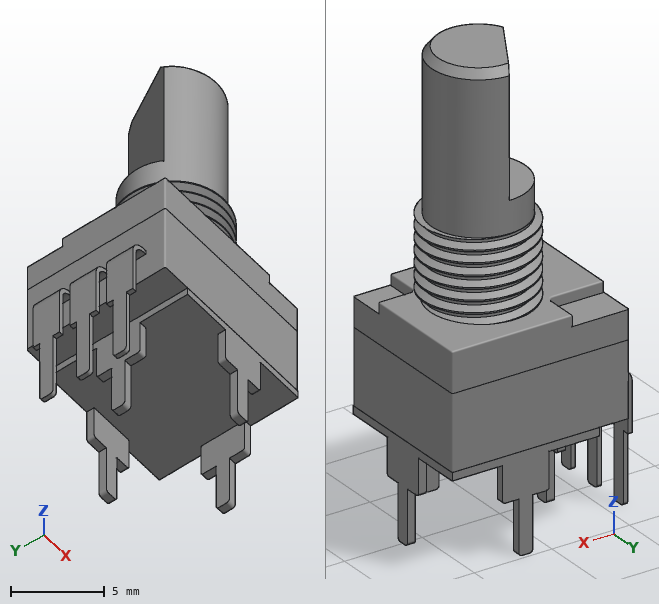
import cadquery as cq
import math


housing_bottom = 6.27
cover_bottom = 11.0
cover_top = 13.5
bushing_top = 18.5
flat_bottom = 20.5
shaft_top = 28.5

housing_length = 11.4
housing_width = 9.5
housing_right = 4.87
housing_left = housing_right - housing_length
edge_radius = 0.1

notch_length_left = 3.62
notch_width_left = 2.4
notch_length_right = 2.4
notch_width_right = 2.4
notch_depth = 0.68
notch_corner_radius = 0.37

shaft_diameter = 6.0
shaft_chamfer_width = 0.43
shaft_chamfer_height = 0.5
flat_distance = 1.48
flat_direction = 150

core_diameter = 6.05
thread_diameter = 6.9
thread_turns = 6.65
thread_pitch = (bushing_top - cover_top) / thread_turns
crest_width = 0.09
flank_angle = 30
thread_phase = 0.57
thread_sink = 0.05

bracket_thickness = 0.5
bracket_size = housing_width
bracket_center_x = housing_right - bracket_size / 2
tab_width = 3.0
tab_bottom = 3.45
pin_width = 0.9
tab_corner_radius = 0.17
pin_tip_radius = 0.23

terminal_count = 3
terminal_pitch = 2.5
terminal_width = 1.8
terminal_thickness = 0.28
terminal_reach = 1.1
terminal_left = housing_left - terminal_reach
terminal_top = 8.52
terminal_shoulder = 4.53
bend_radius = 0.95


def housing_block(bottom, top):
    """Plain rectangular block of the housing outline between two heights."""
    return cq.Workplane("XY").box(
        housing_length, housing_width, top - bottom, centered=False
    ).translate((housing_left, -housing_width / 2, bottom))


def make_housing():
    """Lower half of the housing, with rounded upright edges."""
    return housing_block(housing_bottom, cover_bottom).edges("|Z").fillet(edge_radius)


def notch_cutter(corner_x, corner_y, length, width, inner_corner):
    """Block that lowers one corner of the cover, rounded at its inner corner."""
    block = cq.Workplane("XY").box(length * 2, width * 2, notch_depth * 2)
    return block.edges("|Z").edges(inner_corner).fillet(notch_corner_radius).translate(
        (corner_x, corner_y, cover_top)
    )


def make_cover():
    """Top half of the housing, with two opposite corners lowered."""
    left_notch = notch_cutter(
        housing_left, housing_width / 2, notch_length_left, notch_width_left, ">X and <Y"
    )
    right_notch = notch_cutter(
        housing_right, -housing_width / 2, notch_length_right, notch_width_right, "<X and >Y"
    )
    cover = housing_block(cover_bottom, cover_top).cut(left_notch).cut(right_notch)
    outer_faces = cover.faces("<X or >X or <Y or >Y")
    top_edges = cover.faces(">Z").edges()
    return cover.newObject(outer_faces.edges("|Z").vals() + top_edges.vals()).fillet(edge_radius)


def make_bushing():
    """Round core with a right-handed helical ridge, cut flat at both ends."""
    length = bushing_top - cover_top
    core_radius = core_diameter / 2
    thread_radius = thread_diameter / 2
    root_radius = core_radius - thread_sink
    half_crest = crest_width / 2
    half_root = half_crest + (thread_radius - root_radius) * math.tan(math.radians(flank_angle))

    overrun = 2 * thread_pitch
    start = thread_phase - overrun
    turns_height = length + 2 * overrun
    helix = cq.Wire.makeHelix(thread_pitch, turns_height, root_radius).translate(
        cq.Vector(0, 0, start)
    )
    ridge = (
        cq.Workplane("XZ")
        .moveTo(root_radius, start - half_root)
        .lineTo(thread_radius, start - half_crest)
        .lineTo(thread_radius, start + half_crest)
        .lineTo(root_radius, start + half_root)
        .close()
        .sweep(cq.Workplane(obj=helix), isFrenet=True)
    )
    envelope = cq.Workplane("XY").circle(thread_diameter).extrude(length)
    core = cq.Workplane("XY").circle(core_radius).extrude(length)
    return core.union(ridge.intersect(envelope)).translate((0, 0, cover_top))


def make_shaft():
    """Round shaft standing on the bushing, with a flat on its upper part."""
    shaft = (
        cq.Workplane("XY", origin=(0, 0, bushing_top))
        .circle(shaft_diameter / 2)
        .extrude(shaft_top - bushing_top)
        .faces(">Z")
        .chamfer(shaft_chamfer_height, shaft_chamfer_width)
    )
    flat_cutter = (
        cq.Workplane("XY")
        .box(shaft_diameter, shaft_diameter * 2, shaft_top - flat_bottom, centered=(False, True, False))
        .translate((flat_distance, 0, flat_bottom))
        .rotate((0, 0, 0), (0, 0, 1), flat_direction)
    )
    return shaft.cut(flat_cutter)


def make_leg():
    """Bracket leg on the -Y side of a bracket centred on the Z axis."""
    tab = (
        cq.Workplane("XY")
        .box(tab_width, bracket_thickness, housing_bottom - tab_bottom, centered=(True, False, False))
        .edges("|Y and <Z")
        .fillet(tab_corner_radius)
        .translate((0, 0, tab_bottom))
    )
    pin = (
        cq.Workplane("XY")
        .box(pin_width, bracket_thickness, housing_bottom, centered=(True, False, False))
        .edges("|Y and <Z")
        .fillet(pin_tip_radius)
    )
    return tab.union(pin).translate((0, -bracket_size / 2, 0))


def make_bracket():
    """Square plate under the housing with one leg in the middle of each side."""
    bracket = (
        cq.Workplane("XY", origin=(0, 0, housing_bottom - bracket_thickness))
        .rect(bracket_size, bracket_size)
        .extrude(bracket_thickness)
    )
    leg = make_leg()
    for angle in range(0, 360, 90):
        bracket = bracket.union(leg.rotate((0, 0, 0), (0, 0, 1), angle))
    return bracket.translate((bracket_center_x, 0, 0))


def make_terminal(center_y):
    """Strip that leaves the housing, bends down and narrows to a pin."""
    inner_radius = bend_radius - terminal_thickness
    bend_x = terminal_left + bend_radius
    bend_z = terminal_top - bend_radius
    strip = (
        cq.Workplane("XZ", origin=(0, terminal_width / 2, 0))
        .moveTo(housing_left, terminal_top)
        .lineTo(bend_x, terminal_top)
        .radiusArc((terminal_left, bend_z), -bend_radius)
        .lineTo(terminal_left, 0)
        .lineTo(terminal_left + terminal_thickness, 0)
        .lineTo(terminal_left + terminal_thickness, bend_z)
        .radiusArc((bend_x, terminal_top - terminal_thickness), inner_radius)
        .lineTo(housing_left, terminal_top - terminal_thickness)
        .close()
        .extrude(terminal_width)
    )
    depth = housing_left - terminal_left
    wide_part = (
        cq.Workplane("XY")
        .box(depth, terminal_width, terminal_top - terminal_shoulder, centered=(False, True, False))
        .translate((terminal_left, 0, terminal_shoulder))
    )
    pin = (
        cq.Workplane("XY")
        .box(depth, pin_width, terminal_top, centered=(False, True, False))
        .edges("|X and <Z")
        .fillet(pin_tip_radius)
        .translate((terminal_left, 0, 0))
    )
    outline = wide_part.union(pin)
    return strip.intersect(outline).translate((0, center_y, 0))


housing = make_housing()
cover = make_cover()
bushing = make_bushing()
shaft = make_shaft()
bracket = make_bracket()
terminals = [
    make_terminal((i - (terminal_count - 1) / 2) * terminal_pitch) for i in range(terminal_count)
]

result = cq.Compound.makeCompound(
    [housing.val(), cover.val(), bushing.val(), shaft.val(), bracket.val()]
    + [terminal.val() for terminal in terminals]
)